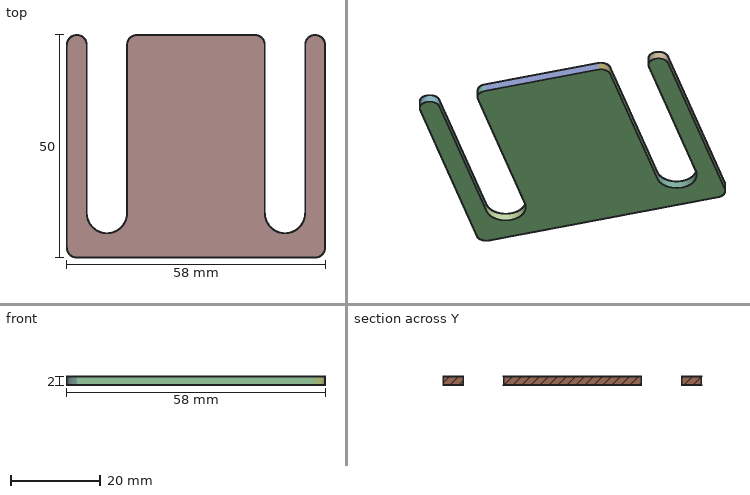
import cadquery as cq

width = 58.0
depth = 50.0
thickness = 2.0
tongue_width = 31.0
slot_width = 9.0
base_depth = 5.5

arm_width = (width - tongue_width) / 2 - slot_width
corner_radius = arm_width / 2
slot_radius = slot_width / 2
slot_offset = (tongue_width + slot_width) / 2
arm_offset = (width - arm_width) / 2
front_y = -depth / 2
back_y = depth / 2
slot_center_y = front_y + base_depth + slot_radius
tip_center_y = back_y - corner_radius


def rounded_bottom_slot(center_x):
    """Slot open at the +Y edge, with a full round at its closed end."""
    length = back_y - slot_center_y
    channel = (
        cq.Workplane("XY")
        .center(center_x, slot_center_y + length / 2)
        .rect(slot_width, length)
        .extrude(thickness)
    )
    closed_end = cq.Workplane("XY").center(center_x, slot_center_y).circle(slot_radius).extrude(thickness)
    return channel.union(closed_end)


def arm_tip_trim(center_x):
    """Material to remove around the full round at the end of an arm."""
    return (
        cq.Workplane("XY")
        .center(center_x, tip_center_y + corner_radius / 2)
        .rect(arm_width, corner_radius)
        .extrude(thickness)
        .cut(cq.Workplane("XY").center(center_x, tip_center_y).circle(corner_radius).extrude(thickness))
    )


result = cq.Workplane("XY").rect(width, depth).extrude(thickness)
result = result.edges("|Z and <Y").fillet(corner_radius)

for side in (-1, 1):
    result = result.cut(rounded_bottom_slot(side * slot_offset))
    result = result.cut(arm_tip_trim(side * arm_offset))

margin = 0.6
tongue_corners = cq.selectors.BoxSelector(
    (-tongue_width / 2 - margin, back_y - margin, -margin),
    (tongue_width / 2 + margin, back_y + margin, thickness + margin),
)
result = result.edges("|Z").edges(tongue_corners).fillet(corner_radius)